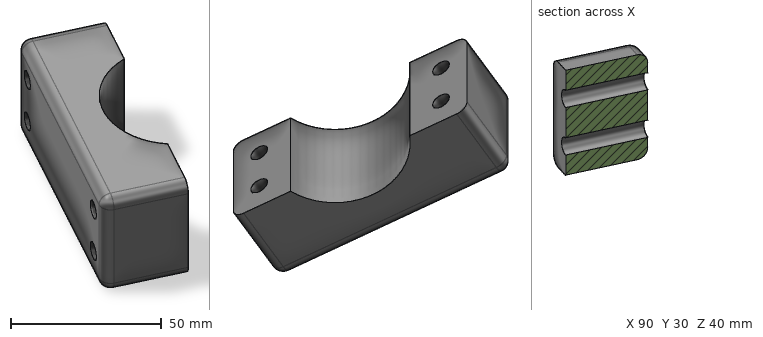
import cadquery as cq

length = 90.0
depth = 30.0
height = 40.0
edge_radius = 4.0

saddle_radius = 25.0
saddle_depth = 15.0
saddle_axis_y = depth - saddle_depth + saddle_radius

hole_diameter = 6.4
hole_spacing_x = 70.0
hole_spacing_z = 18.0


def rounded_block():
    """Block with every edge rounded except those around the back face."""
    block = cq.Workplane("XY").box(length, depth, height).translate((0, depth / 2, 0))
    return block.edges("|Y or <Y").fillet(edge_radius)


def saddle():
    cylinder = cq.Workplane("XY").circle(saddle_radius).extrude(height, both=True)
    return cylinder.translate((0, saddle_axis_y, 0))


def screw_holes():
    return (
        cq.Workplane("XZ")
        .rarray(hole_spacing_x, hole_spacing_z, 2, 2)
        .circle(hole_diameter / 2)
        .extrude(-depth)
    )


result = rounded_block().cut(saddle()).cut(screw_holes())